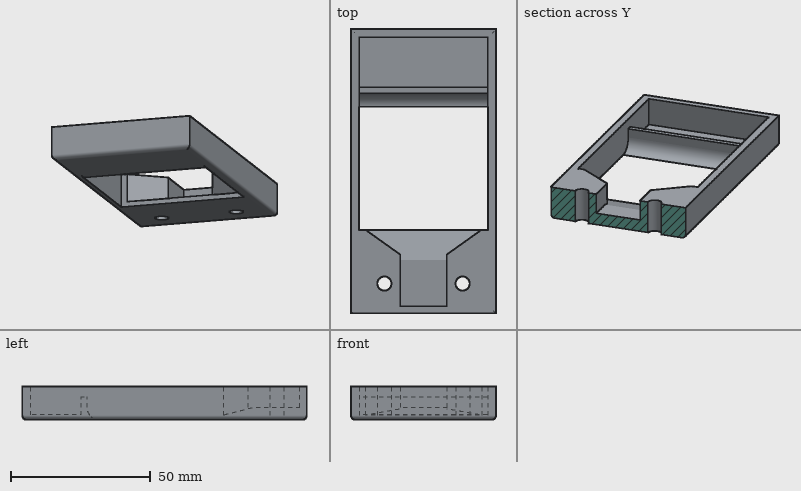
import cadquery as cq

width = 52.0
length = 102.0
height = 12.0
bottom_round = 1.6

side_wall = 3.0
inner_width = width - 2 * side_wall
front_y = -length / 2
inner_back_y = length / 2 - side_wall
window_front_y = front_y + 30.0

tray_length = 18.1
tray_floor = 2.0
ridge_thickness = 2.0
ridge_top = 8.3
ridge_cove_radius = 4.9
ridge_back_y = inner_back_y - tray_length
ridge_front_y = ridge_back_y - ridge_thickness

pocket_width = 16.7
pocket_front_y = front_y + 2.7
slope_start_y = front_y + 19.1
shoulder_y = front_y + 21.1
funnel_width = 41.6
pocket_floor = 4.6
slope_end_z = 1.8

hole_diameter = 5.0
hole_spacing = 28.0
hole_y = front_y + 10.7


def make_body():
    block = cq.Workplane("XY").box(width, length, height, centered=(True, True, False))
    return block.faces("<Z").edges().fillet(bottom_round)


def extrude_across(profile, across):
    """Extrude a (Y, Z) profile along X, centred on the part."""
    return profile.extrude(across / 2, both=True)


def make_opening():
    """Space inside the frame: the window, above the ridge, and the back tray."""
    cove_end_y = ridge_front_y - ridge_cove_radius
    profile = (
        cq.Workplane("YZ")
        .moveTo(window_front_y, 0)
        .lineTo(cove_end_y, 0)
        .radiusArc((ridge_front_y, ridge_cove_radius), -ridge_cove_radius)
        .lineTo(ridge_front_y, ridge_top)
        .lineTo(ridge_back_y, ridge_top)
        .lineTo(ridge_back_y, tray_floor)
        .lineTo(inner_back_y, tray_floor)
        .lineTo(inner_back_y, height)
        .lineTo(window_front_y, height)
        .close()
    )
    return extrude_across(profile, inner_width)


def make_pocket():
    """Funnel-shaped plan, limited below by a flat floor and a slope to the window."""
    plan = (
        cq.Workplane("XY")
        .moveTo(-pocket_width / 2, pocket_front_y)
        .lineTo(pocket_width / 2, pocket_front_y)
        .lineTo(pocket_width / 2, shoulder_y)
        .lineTo(funnel_width / 2, window_front_y)
        .lineTo(-funnel_width / 2, window_front_y)
        .lineTo(-pocket_width / 2, shoulder_y)
        .close()
        .extrude(height)
    )
    profile = (
        cq.Workplane("YZ")
        .moveTo(pocket_front_y, pocket_floor)
        .lineTo(slope_start_y, pocket_floor)
        .lineTo(window_front_y, slope_end_z)
        .lineTo(window_front_y, height)
        .lineTo(pocket_front_y, height)
        .close()
    )
    return plan.intersect(extrude_across(profile, funnel_width))


def make_screw_holes():
    return (
        cq.Workplane("XY")
        .pushPoints([(side * hole_spacing / 2, hole_y) for side in (-1, 1)])
        .circle(hole_diameter / 2)
        .extrude(height)
    )


result = make_body().cut(make_opening()).cut(make_pocket()).cut(make_screw_holes())